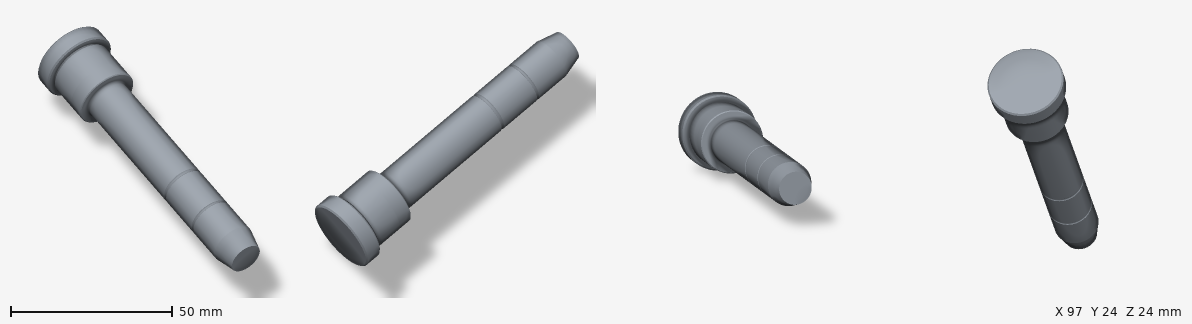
import cadquery as cq

length = 97.0
head_diameter = 24.0
collar_diameter = 20.0
neck_diameter = 19.2
shank_diameter = 14.0
tip_diameter = 10.5

head_end = 5.9
neck_end = 6.8
collar_seam = 15.8
collar_end = 20.9
taper_start = 90.0

head_chamfer = 0.5
collar_chamfer = 0.3
root_fillet = 0.6

grooves = [(62.3, 1.2), (77.4, 1.0)]
groove_depth = 0.3

head_radius = head_diameter / 2
collar_radius = collar_diameter / 2
neck_radius = neck_diameter / 2
shank_radius = shank_diameter / 2
tip_radius = tip_diameter / 2


def add_head(profile):
    """Chamfered disc head, drawn outward from the axis."""
    return (
        profile.lineTo(0, head_radius - head_chamfer)
        .lineTo(head_chamfer, head_radius)
        .lineTo(head_end - head_chamfer, head_radius)
        .lineTo(head_end, head_radius - head_chamfer)
    )


def add_collar(profile):
    """Undercut neck and collar; the seam divides the collar surface in two."""
    return (
        profile.lineTo(head_end, neck_radius)
        .lineTo(neck_end, neck_radius)
        .lineTo(neck_end, collar_radius)
        .lineTo(collar_seam, collar_radius)
        .lineTo(collar_end - collar_chamfer, collar_radius)
        .lineTo(collar_end, collar_radius - collar_chamfer)
    )


def add_shank(profile):
    """Shank with a filleted root, shallow grooves and a tapered tip."""
    profile = profile.lineTo(collar_end, shank_radius + root_fillet).radiusArc(
        (collar_end + root_fillet, shank_radius), -root_fillet
    )
    for start, width in grooves:
        profile = profile.lineTo(start, shank_radius).threePointArc(
            (start + width / 2, shank_radius - groove_depth),
            (start + width, shank_radius),
        )
    return (
        profile.lineTo(taper_start, shank_radius)
        .lineTo(length, tip_radius)
        .lineTo(length, 0)
    )


profile = cq.Workplane("XY").moveTo(0, 0)
profile = add_head(profile)
profile = add_collar(profile)
profile = add_shank(profile)

result = profile.close().revolve(360, (0, 0, 0), (1, 0, 0), clean=False)